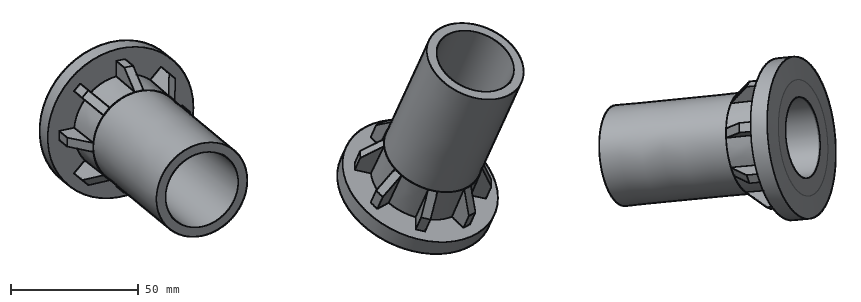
import cadquery as cq

total_length = 79
flange_radius = 64.1 / 2
flange_back = 7.75
face_radius = 23.0
face_setback = 0.55
tube_radius = 20.1
tube_tip_radius = 20.0
neck_root_radius = 20.5
neck_tip_radius = 20.2
bore_radius = 15.95
lead_in_radius = 16.0
lead_in_depth = 0.55

rib_count = 8
rib_radius = 27.0
rib_thickness = 3.9
rib_flat_end = 14.85
rib_end = 23.9


def make_sleeve():
    """Revolve the flange, neck and tube, with the bore left open."""
    profile = (
        cq.Workplane("XY")
        .moveTo(lead_in_depth, bore_radius)
        .lineTo(0, lead_in_radius)
        .lineTo(0, face_radius)
        .lineTo(face_setback, flange_radius)
        .lineTo(flange_back, flange_radius)
        .lineTo(flange_back, neck_root_radius)
        .lineTo(rib_end, neck_tip_radius)
        .lineTo(rib_end, tube_radius)
        .lineTo(total_length, tube_tip_radius)
        .lineTo(total_length, bore_radius)
        .close()
    )
    return profile.revolve(360, (0, 0, 0), (1, 0, 0))


def make_rib():
    """Make one gusset behind the flange, rooted inside the tube wall."""
    root_radius = (bore_radius + tube_radius) / 2
    root_start = flange_back / 2
    outline = [
        (root_start, root_radius),
        (root_start, rib_radius),
        (rib_flat_end, rib_radius),
        (rib_end, neck_tip_radius),
        (rib_end, root_radius),
    ]
    return cq.Workplane("XZ").polyline(outline).close().extrude(rib_thickness / 2, both=True)


result = make_sleeve()
rib = make_rib()
for index in range(rib_count):
    angle = index * 360 / rib_count
    result = result.union(rib.rotate((0, 0, 0), (1, 0, 0), angle))